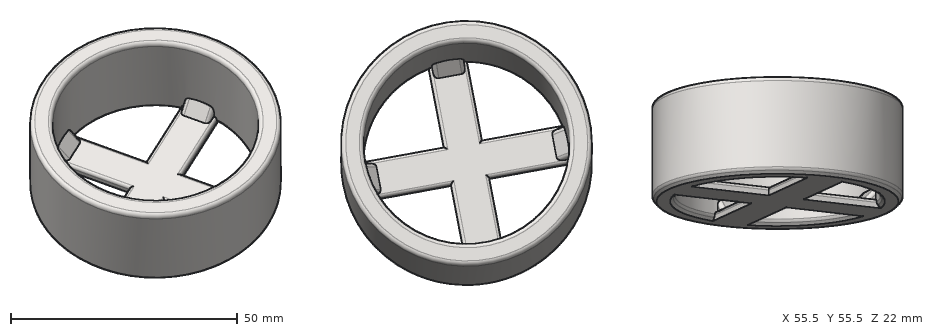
import cadquery as cq

outer_diameter = 55.5
bore_diameter = 45.5
height = 22.0
bore_radius = bore_diameter / 2
edge_size = 1.0

arm_width = 8.6
arm_thickness = 2 * edge_size
arm_rounding = 0.7

block_width = arm_width - 2 * arm_rounding
block_leg = 3 * edge_size
block_rounding = edge_size
wall_overlap = (outer_diameter - bore_diameter) / 4


def make_ring():
    ring = cq.Workplane("XY").circle(outer_diameter / 2).circle(bore_radius).extrude(height)
    ring = ring.faces("<Z").chamfer(edge_size)
    ring = ring.faces("%CONE").edges("%CIRCLE").edges(">Z").fillet(edge_size)
    return ring.faces(">Z").edges().fillet(edge_size)


def make_cross():
    length = 2 * (bore_radius + wall_overlap)
    centered = (True, True, False)
    arm_x = cq.Workplane("XY").box(length, arm_width, arm_thickness, centered=centered)
    arm_y = cq.Workplane("XY").box(arm_width, length, arm_thickness, centered=centered)
    cross = arm_x.union(arm_y)
    return cross.faces(">Z").edges().fillet(arm_rounding)


def make_block():
    toe = bore_radius - block_leg
    back = bore_radius + wall_overlap
    top = arm_thickness + (back - toe)
    profile = [
        (toe, arm_thickness),
        (back, top),
        (back, arm_thickness / 2),
        (toe, arm_thickness / 2),
    ]
    block = cq.Workplane("XZ").polyline(profile).close().extrude(block_width / 2, both=True)
    slope = cq.selectors.DirectionMinMaxSelector(cq.Vector(-1, 0, 1))
    return block.faces(slope).edges("not |Y").fillet(block_rounding)


result = make_ring().union(make_cross())
block = make_block()
for angle in (0, 90, 180, 270):
    result = result.union(block.rotate((0, 0, 0), (0, 0, 1), angle))